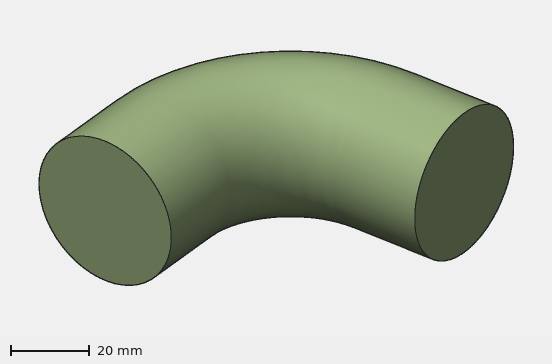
import cadquery as cq

pipe_diameter = 42.0
bend_radius = 40.0
straight_length = 25.0
bend_angle = 89.65

pipe_radius = pipe_diameter / 2

bend_start = (0, bend_radius, 0)
bend_axis_start = (0, 0, 0)
bend_axis_end = (0, 0, 1)


def bend():
    """Elbow from the +X end round towards the -Y end."""
    return (
        cq.Workplane("YZ", origin=bend_start)
        .circle(pipe_radius)
        .revolve(bend_angle, (-bend_radius, 0, 0), (-bend_radius, 1, 0))
    )


def straight_end(direction):
    """Straight pipe at the start of the bend: +1 runs along +X, -1 along -X."""
    return (
        cq.Workplane("YZ", origin=bend_start)
        .circle(pipe_radius)
        .extrude(direction * straight_length)
    )


x_end = straight_end(1)
y_end = straight_end(-1).rotate(bend_axis_start, bend_axis_end, bend_angle)

result = bend().union(x_end).union(y_end)